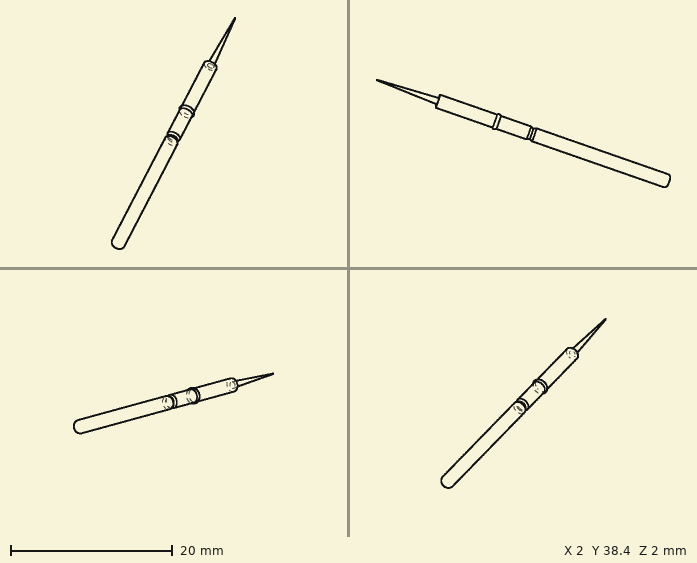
import cadquery as cq

total_length = 38.4
shoulder_position = 30.37
collar_center = 22.65
collar_width = 0.5
groove_center = 18.1
groove_width = 0.73

body_diameter = 1.73
body_radius = body_diameter / 2
collar_radius = 1.0
groove_radius = 0.7
needle_base_radius = 0.42
needle_tip_radius = 0.05
rear_fillet = 0.45

shoulder_to_tip = total_length - shoulder_position
collar_start = collar_center - collar_width / 2
collar_end = collar_center + collar_width / 2
groove_start = groove_center - groove_width / 2
groove_end = groove_center + groove_width / 2


def make_body():
    """Round barrel with a waisted groove and a bulging collar, along +Y."""
    profile = (
        cq.Workplane("XY")
        .lineTo(body_radius, 0)
        .lineTo(body_radius, groove_start)
        .lineTo(groove_radius, groove_center)
        .lineTo(body_radius, groove_end)
        .lineTo(body_radius, collar_start)
        .threePointArc((collar_radius, collar_center), (body_radius, collar_end))
        .lineTo(body_radius, shoulder_position)
        .lineTo(0, shoulder_position)
        .close()
    )
    body = profile.revolve(360, (0, 0, 0), (0, 1, 0))
    return body.faces("<Y").edges().fillet(rear_fillet)


def make_needle():
    """Slender tapered needle reaching from the shoulder to the tip."""
    return cq.Workplane(
        cq.Solid.makeCone(
            needle_base_radius,
            needle_tip_radius,
            shoulder_to_tip,
            pnt=cq.Vector(0, shoulder_position, 0),
            dir=cq.Vector(0, 1, 0),
        )
    )


result = make_body().union(make_needle())